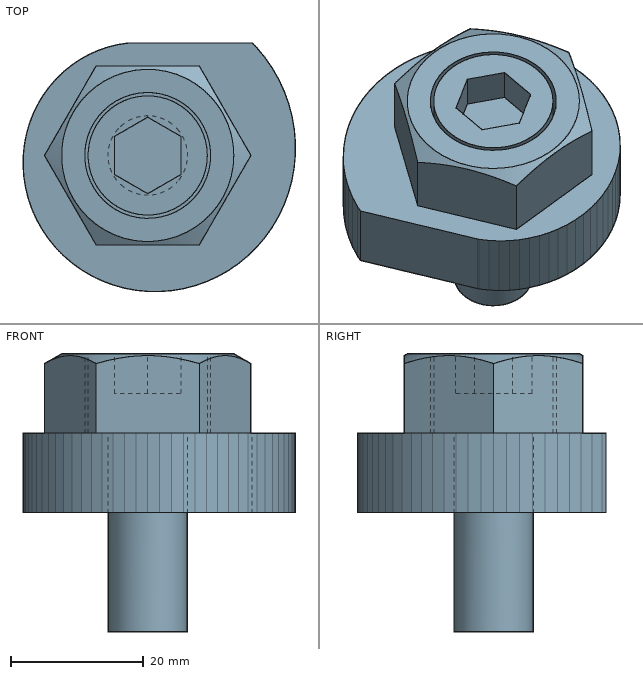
import cadquery as cq
import math


cam_height = 12.0
cam_base_radius = 15.3
cam_rise_per_turn = 7.0
facet_angle = 5
spiral_start = 95
spiral_end = 410
flat_distance = 17.0

hex_height = 12.0
hex_across_flats = 27.0
hex_chamfer_diameter = 26.0
hex_chamfer_angle = 30.0

thread_diameter = 12.0
head_diameter = 18.0
head_height = 12.0
screw_length = 30.0
socket_across_flats = 10.0
socket_depth = 6.0

counterbore_diameter = 19.0

half_sector = 360 / 6 / 2
nut_height = cam_height + hex_height
seat_height = nut_height - head_height


def corner_diameter(across_flats):
    return across_flats / math.cos(math.radians(half_sector))


def spiral_point(angle):
    radius = cam_base_radius + cam_rise_per_turn * angle / 360
    return (radius * math.cos(math.radians(angle)), radius * math.sin(math.radians(angle)))


def make_cam():
    spiral = [spiral_point(angle) for angle in range(spiral_start, spiral_end + 1, facet_angle)]
    cam = cq.Workplane("XY").polyline(spiral).close().extrude(cam_height)
    trim_size = 4 * flat_distance
    beyond_flat = (
        cq.Workplane("XY")
        .center(0, flat_distance + trim_size / 2)
        .rect(trim_size, trim_size)
        .extrude(cam_height)
    )
    return cam.cut(beyond_flat)


def make_hexagon():
    corners = corner_diameter(hex_across_flats)
    hexagon = cq.Workplane("XY").workplane(offset=cam_height).polygon(6, corners).extrude(hex_height)
    top_radius = hex_chamfer_diameter / 2
    blank_radius = corners / 2
    chamfer_drop = (blank_radius - top_radius) * math.tan(math.radians(hex_chamfer_angle))
    blank = (
        cq.Workplane("XZ")
        .moveTo(0, cam_height)
        .lineTo(blank_radius, cam_height)
        .lineTo(blank_radius, nut_height - chamfer_drop)
        .lineTo(top_radius, nut_height)
        .lineTo(0, nut_height)
        .close()
        .revolve(360, (0, 0, 0), (0, 1, 0))
    )
    return hexagon.intersect(blank)


def make_nut():
    bore = cq.Workplane("XY").circle(thread_diameter / 2).extrude(nut_height)
    counterbore = (
        cq.Workplane("XY").workplane(offset=seat_height).circle(counterbore_diameter / 2).extrude(head_height)
    )
    return make_cam().union(make_hexagon()).cut(bore).cut(counterbore)


def make_screw():
    shank = (
        cq.Workplane("XY").workplane(offset=seat_height).circle(thread_diameter / 2).extrude(-screw_length)
    )
    head = cq.Workplane("XY").workplane(offset=seat_height).circle(head_diameter / 2).extrude(head_height)
    socket = (
        cq.Workplane("XY")
        .workplane(offset=nut_height - socket_depth)
        .polygon(6, corner_diameter(socket_across_flats))
        .extrude(socket_depth)
        .rotate((0, 0, 0), (0, 0, 1), half_sector)
    )
    return shank.union(head).cut(socket)


nut = make_nut()
screw = make_screw()

result = cq.Compound.makeCompound([nut.val(), screw.val()])